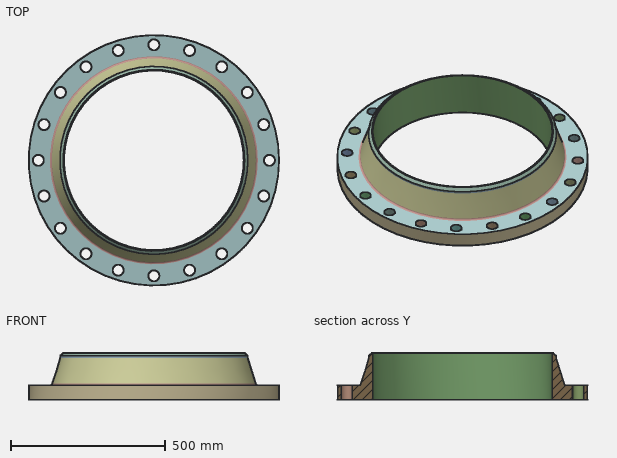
import cadquery as cq
import math

flange_diameter = 812.5
flange_thickness = 48.0
flange_radius = flange_diameter / 2

total_height = 153.0
bore_radius = 291.0
neck_radius = 305.0
hub_base_radius = 331.0
root_fillet_width = 6.5
root_fillet_height = 5.0
bevel_height = 10.0
neck_straight_height = 7.0
tip_land_width = 3.0

bolt_hole_count = 20
bolt_hole_diameter = 35.0
bolt_circle_diameter = 749.0

bevel_start_z = total_height - bevel_height
neck_start_z = bevel_start_z - neck_straight_height
hub_start_z = flange_thickness + root_fillet_height


def root_fillet_middle():
    """Point halfway along the concave root fillet."""
    reach = 1 - math.sqrt(0.5)
    return (
        hub_base_radius + root_fillet_width * reach,
        flange_thickness + root_fillet_height * reach,
    )


def make_body():
    """Revolve the half section (radius, height) of the plate and neck about Z."""
    section = (
        cq.Workplane("XZ")
        .moveTo(bore_radius, 0)
        .lineTo(flange_radius, 0)
        .lineTo(flange_radius, flange_thickness)
        .lineTo(hub_base_radius + root_fillet_width, flange_thickness)
        .threePointArc(root_fillet_middle(), (hub_base_radius, hub_start_z))
        .lineTo(neck_radius, neck_start_z)
        .lineTo(neck_radius, bevel_start_z)
        .lineTo(bore_radius + tip_land_width, total_height)
        .lineTo(bore_radius, total_height)
        .close()
    )
    return section.revolve(360, (0, 0, 0), (0, 1, 0))


def make_bolt_holes():
    """Through-holes equally spaced on the bolt circle, the first one on +X."""
    return (
        cq.Workplane("XY")
        .polarArray(bolt_circle_diameter / 2, 0, 360, bolt_hole_count)
        .circle(bolt_hole_diameter / 2)
        .extrude(flange_thickness)
    )


result = make_body().cut(make_bolt_holes())